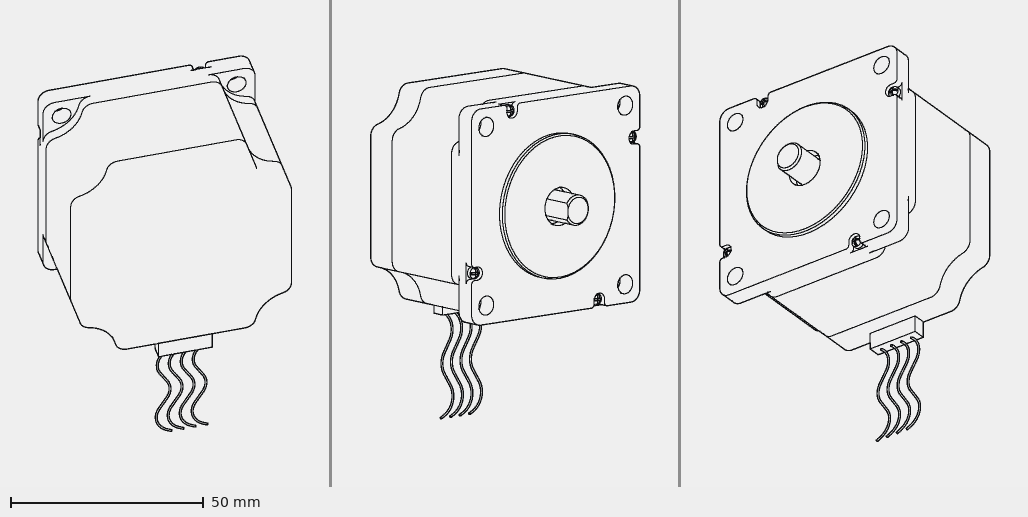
import cadquery as cq
import math


overall_height = 89.55
frame_width = 57.0
half_width = frame_width / 2

flange_thickness = 5.1
housing_end = 8.1
stator_end = 32.0
motor_end = 41.0

flange_corner_radius = 3.0
mount_hole_diameter = 5.0
mount_hole_spacing = 47.1

pilot_diameter = 38.15
pilot_height = 1.6
pilot_chamfer = 0.45
recess_diameter = 10.0
recess_depth = 3.1
recess_floor = recess_depth - pilot_height

relief_radius = 9.4
relief_inset = 0.45
relief_edge_fillet = 3.0
rear_fillet = 0.5

screw_offset_along = 14.8
screw_offset_out = 26.6
screw_pocket_width = 3.5
screw_pocket_depth = 2.15
screw_pocket_flare = 1.0
screw_head_diameter = 3.0
screw_rim_height = 1.1
screw_dome_height = 1.0
cross_length = 2.4
cross_width = 0.5
cross_depth = 0.9

shaft_diameter = 8.0
shaft_tip = -8.95
shaft_chamfer = 0.5
shaft_flat_distance = 3.3

connector_length = 3.6
connector_width = 14.5
connector_height = 4.75
wire_count = 4
wire_diameter = 0.5
wire_pitch = 3.2
first_wire_y = 5.0
wire_bends = [(-4.2, 3.2), (2.0, 13.2), (-5.1, 24.4)]
wire_bend_radius = 5.4
wire_end_slope = 26


def plane_at(x):
    """YZ workplane at station x, with its normal along +X."""
    return cq.Workplane("YZ", origin=(x, 0, 0))


def cylinder(diameter, x_start, x_end):
    """Cylinder on the shaft axis."""
    return plane_at(x_start).circle(diameter / 2).extrude(x_end - x_start)


def body_section(x_start, x_end):
    """Length of square motor body with a rounded hollow along each corner."""
    length = x_end - x_start
    relief_spacing = frame_width - 2 * relief_inset
    reliefs = (
        plane_at(x_start)
        .rect(relief_spacing, relief_spacing, forConstruction=True)
        .vertices()
        .circle(relief_radius)
        .extrude(length)
    )
    square = plane_at(x_start).rect(frame_width, frame_width).extrude(length)
    return square.cut(reliefs).edges("|X").fillet(relief_edge_fillet)


def make_flange():
    flange = plane_at(0).rect(frame_width, frame_width).extrude(flange_thickness)
    flange = flange.edges("|X").fillet(flange_corner_radius)
    mount_holes = (
        plane_at(0)
        .rect(mount_hole_spacing, mount_hole_spacing, forConstruction=True)
        .vertices()
        .circle(mount_hole_diameter / 2)
        .extrude(flange_thickness)
    )
    return flange.cut(mount_holes)


def make_screw_pocket():
    """Pocket for the screw on the top side, open to the frame edge through rounded corners."""
    radius = screw_pocket_width / 2
    flare_start = half_width - screw_pocket_flare
    flare_mid = screw_pocket_flare * (1 - math.sqrt(0.5))
    mouth = radius + screw_pocket_flare
    left = screw_offset_along - radius
    right = screw_offset_along + radius
    return (
        plane_at(0)
        .moveTo(left, screw_offset_out)
        .threePointArc(
            (screw_offset_along, screw_offset_out - radius),
            (right, screw_offset_out),
        )
        .lineTo(right, flare_start)
        .threePointArc(
            (right + flare_mid, half_width - flare_mid),
            (screw_offset_along + mouth, half_width),
        )
        .lineTo(screw_offset_along - mouth, half_width)
        .threePointArc(
            (left - flare_mid, half_width - flare_mid),
            (left, flare_start),
        )
        .close()
        .extrude(screw_pocket_depth)
    )


def make_screw_head():
    """Domed cross-slot screw head standing on the floor of the top pocket."""
    radius = screw_head_diameter / 2
    top_x = screw_pocket_depth - screw_rim_height - screw_dome_height
    sphere_radius = (radius**2 + screw_dome_height**2) / (2 * screw_dome_height)
    centre = plane_at(top_x).center(screw_offset_along, screw_offset_out)
    ball = cq.Workplane("XY").sphere(sphere_radius).translate(
        (top_x + sphere_radius, screw_offset_along, screw_offset_out)
    )
    dome = centre.circle(radius).extrude(screw_dome_height).intersect(ball)
    rim = centre.workplane(offset=screw_dome_height).circle(radius).extrude(screw_rim_height)
    head = dome.union(rim)
    for length, height in ((cross_length, cross_width), (cross_width, cross_length)):
        head = head.cut(centre.rect(length, height).extrude(cross_depth))
    return head


def make_front_housing():
    """Flange, pilot boss and screws in one body, bored for the shaft."""
    housing = make_flange().union(body_section(flange_thickness, housing_end))
    pilot = cylinder(pilot_diameter, -pilot_height, 0).faces("<X").chamfer(pilot_chamfer)
    housing = housing.union(pilot)
    housing = housing.cut(cylinder(recess_diameter, -pilot_height, recess_floor))
    housing = housing.cut(cylinder(shaft_diameter, -pilot_height, housing_end))

    pocket = make_screw_pocket()
    head = make_screw_head()
    for angle in (0, 90, 180, 270):
        housing = housing.cut(pocket.rotate((0, 0, 0), (1, 0, 0), angle))
        housing = housing.union(head.rotate((0, 0, 0), (1, 0, 0), angle))
    return housing


def make_stator():
    return body_section(housing_end, stator_end)


def make_wire(start_y, start_x, start_z):
    """Round wire hanging from the connector: four straight runs in YZ, joined by round bends."""
    radius = wire_diameter / 2
    start = cq.Vector(start_x, start_y, start_z)
    corners = [start + cq.Vector(0, shift, -drop) for shift, drop in wire_bends]

    end_slope = math.radians(wire_end_slope)
    end_z = half_width - overall_height + radius * math.cos(end_slope)
    end_run = (corners[-1].z - end_z) / math.tan(end_slope)
    end = cq.Vector(start_x, corners[-1].y + end_run, end_z)

    path = cq.Wire.makePolygon([start, *corners, end])
    path = path.fillet2D(wire_bend_radius, path.Vertices()[1:-1])
    start_plane = cq.Plane(origin=start, xDir=(1, 0, 0), normal=corners[0] - start)
    return cq.Workplane(start_plane).circle(radius).sweep(path)


def make_rear_cap():
    """Rear end of the motor with the connector and its wires."""
    cap = body_section(stator_end, motor_end).faces(">X").edges().fillet(rear_fillet)
    connector_x = motor_end - rear_fillet - connector_length / 2
    connector_bottom = -half_width - connector_height
    connector = (
        cq.Workplane("XY", origin=(connector_x, 0, connector_bottom))
        .rect(connector_length, connector_width)
        .extrude(connector_height)
    )
    cap = cap.union(connector)
    for index in range(wire_count):
        wire_y = first_wire_y - index * wire_pitch
        cap = cap.union(make_wire(wire_y, connector_x, connector_bottom))
    return cap


def make_shaft():
    """Shaft with a flat on the part that stands clear of its bore."""
    shaft = cylinder(shaft_diameter, shaft_tip, housing_end)
    shaft = shaft.faces("<X").chamfer(shaft_chamfer)
    flat_cut = cq.Workplane("XY").box(
        recess_floor - shaft_tip, shaft_diameter, shaft_diameter, centered=(False, False, True)
    ).translate((shaft_tip, shaft_flat_distance, 0))
    return shaft.cut(flat_cut)


front_housing = make_front_housing()
stator = make_stator()
rear_cap = make_rear_cap()
shaft = make_shaft()

result = cq.Compound.makeCompound(
    [body.solids().val() for body in (front_housing, stator, rear_cap, shaft)]
)